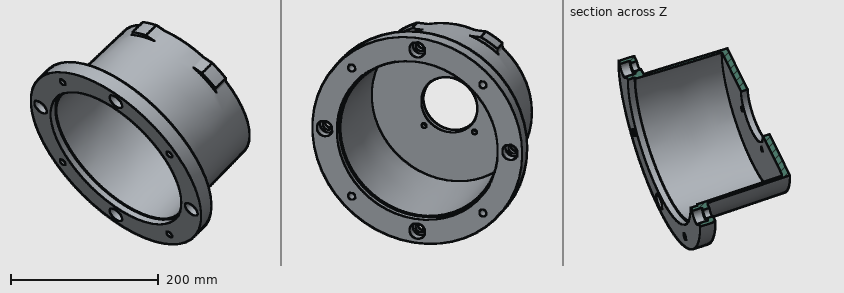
import cadquery as cq
import math

total_length = 145.0
mount_face_y = -total_length / 2
closed_end_y = total_length / 2

flange_diameter = 300.0
flange_thickness = 23.0
flange_edge_chamfer = 1.0
flange_back_rise = 0.8
flange_back_y = mount_face_y + flange_thickness
flange_root_y = flange_back_y + flange_back_rise

wall_root_diameter = 234.0
wall_end_diameter = 230.0

recess_diameter = 230.0
recess_depth = 10.0
cavity_mouth_diameter = 226.0
cavity_end_diameter = 221.5
floor_thickness = 10.0
recess_floor_y = mount_face_y + recess_depth
cavity_floor_y = closed_end_y - floor_thickness

bolt_circle_diameter = 265.0
bolt_hole_diameter = 14.0
bolt_head_diameter = 22.0
bolt_head_depth = 14.0
plain_hole_diameter = 10.11
flange_hole_count = 4
plain_hole_start_angle = 45.0

shaft_hole_diameter = 80.0
end_hole_diameter = 6.65
end_hole_half_width = 36.0
end_hole_half_height = 50.0
end_hole_centre_z = 15.0

pad_length = 22.0
pad_outer_radius = 120.5
pad_top_z = 110.0
pad_side_x = 73.0
pad_fillet = 5.0
pad_overlap_x = 5.0
pad_root_radius = 105.0
corner_reach = 1.5


def circle_points(diameter, count, start_angle):
    """Points (x, z) evenly spaced on a circle about the axis."""
    points = []
    for index in range(count):
        angle = math.radians(start_angle + index * 360.0 / count)
        points.append((diameter / 2 * math.cos(angle), diameter / 2 * math.sin(angle)))
    return points


def cylinders(points, diameter, start_y, end_y):
    """Cylinders along Y from start_y to end_y, centred on the (x, z) points."""
    plane = cq.Plane(origin=(0, start_y, 0), xDir=(1, 0, 0), normal=(0, -1, 0))
    return cq.Workplane(plane).pushPoints(points).circle(diameter / 2).extrude(start_y - end_y)


def revolve_profile(points):
    """Solid of revolution about Y from a (radius, y) outline."""
    return cq.Workplane("XY").polyline(points).close().revolve(360, (0, 0, 0), (0, 1, 0))


def make_outer_body():
    """Flange and tapered wall as one solid."""
    flange_radius = flange_diameter / 2
    return revolve_profile([
        (0, mount_face_y),
        (flange_radius, mount_face_y),
        (flange_radius, flange_back_y - flange_edge_chamfer),
        (flange_radius - flange_edge_chamfer, flange_back_y),
        (wall_root_diameter / 2, flange_root_y),
        (wall_end_diameter / 2, closed_end_y),
        (0, closed_end_y),
    ])


def make_cavity():
    """Locating recess and tapered cavity, open at the mounting face."""
    return revolve_profile([
        (0, mount_face_y),
        (recess_diameter / 2, mount_face_y),
        (recess_diameter / 2, recess_floor_y),
        (cavity_mouth_diameter / 2, recess_floor_y),
        (cavity_end_diameter / 2, cavity_floor_y),
        (0, cavity_floor_y),
    ])


def make_pad(side):
    """Pad with a flat top, a round back and an upright outer wall; side is +1 or -1."""
    flat_inner_x = math.sqrt((wall_end_diameter / 2) ** 2 - pad_top_z ** 2) - pad_overlap_x
    flat_outer_x = math.sqrt(pad_outer_radius ** 2 - pad_top_z ** 2)
    wall_top_z = math.sqrt(pad_outer_radius ** 2 - pad_side_x ** 2)
    root_z = math.sqrt(pad_root_radius ** 2 - pad_side_x ** 2)
    root_inner_z = math.sqrt(pad_root_radius ** 2 - flat_inner_x ** 2)
    middle_angle = (math.atan2(pad_top_z, flat_outer_x) + math.atan2(wall_top_z, pad_side_x)) / 2
    middle_x = pad_outer_radius * math.cos(middle_angle)
    middle_z = pad_outer_radius * math.sin(middle_angle)
    plane = cq.Plane(origin=(0, closed_end_y, 0), xDir=(1, 0, 0), normal=(0, -1, 0))
    return (
        cq.Workplane(plane)
        .moveTo(side * flat_inner_x, pad_top_z)
        .lineTo(side * flat_outer_x, pad_top_z)
        .threePointArc((side * middle_x, middle_z), (side * pad_side_x, wall_top_z))
        .lineTo(side * pad_side_x, root_z)
        .lineTo(side * flat_inner_x, root_inner_z)
        .close()
        .extrude(pad_length)
    )


def add_pads(body):
    """Join both pads to the body and fillet the lengthwise edges where they meet the wall."""
    for side in (1, -1):
        body = body.union(make_pad(side))
    wall_radius = wall_end_diameter / 2
    side_foot_z = math.sqrt(wall_radius ** 2 - pad_side_x ** 2)
    flat_foot_x = math.sqrt(wall_radius ** 2 - pad_top_z ** 2)
    for side in (1, -1):
        for x, z in ((pad_side_x, side_foot_z), (flat_foot_x, pad_top_z)):
            corner_box = cq.selectors.BoxSelector(
                (side * x - corner_reach, closed_end_y - pad_length, z - corner_reach),
                (side * x + corner_reach, closed_end_y, z + corner_reach),
            )
            body = body.edges(corner_box).fillet(pad_fillet)
    return body


def cut_flange_holes(body):
    """Counterbored bolt holes and plain holes, all through the flange."""
    bolt_points = circle_points(bolt_circle_diameter, flange_hole_count, 0)
    plain_points = circle_points(bolt_circle_diameter, flange_hole_count, plain_hole_start_angle)
    bolt_head_floor_y = mount_face_y + bolt_head_depth
    body = body.cut(cylinders(bolt_points, bolt_hole_diameter, mount_face_y, flange_root_y))
    body = body.cut(cylinders(bolt_points, bolt_head_diameter, mount_face_y, bolt_head_floor_y))
    return body.cut(cylinders(plain_points, plain_hole_diameter, mount_face_y, flange_root_y))


def cut_end_holes(body):
    """Shaft hole and four small holes through the closed end."""
    end_points = []
    for x in (-end_hole_half_width, end_hole_half_width):
        for z in (-end_hole_half_height, end_hole_half_height):
            end_points.append((x, end_hole_centre_z + z))
    body = body.cut(cylinders(end_points, end_hole_diameter, cavity_floor_y, closed_end_y))
    return body.cut(cylinders([(0, 0)], shaft_hole_diameter, cavity_floor_y, closed_end_y))


housing = add_pads(make_outer_body())
housing = housing.cut(make_cavity())
housing = cut_flange_holes(housing)
result = cut_end_holes(housing)